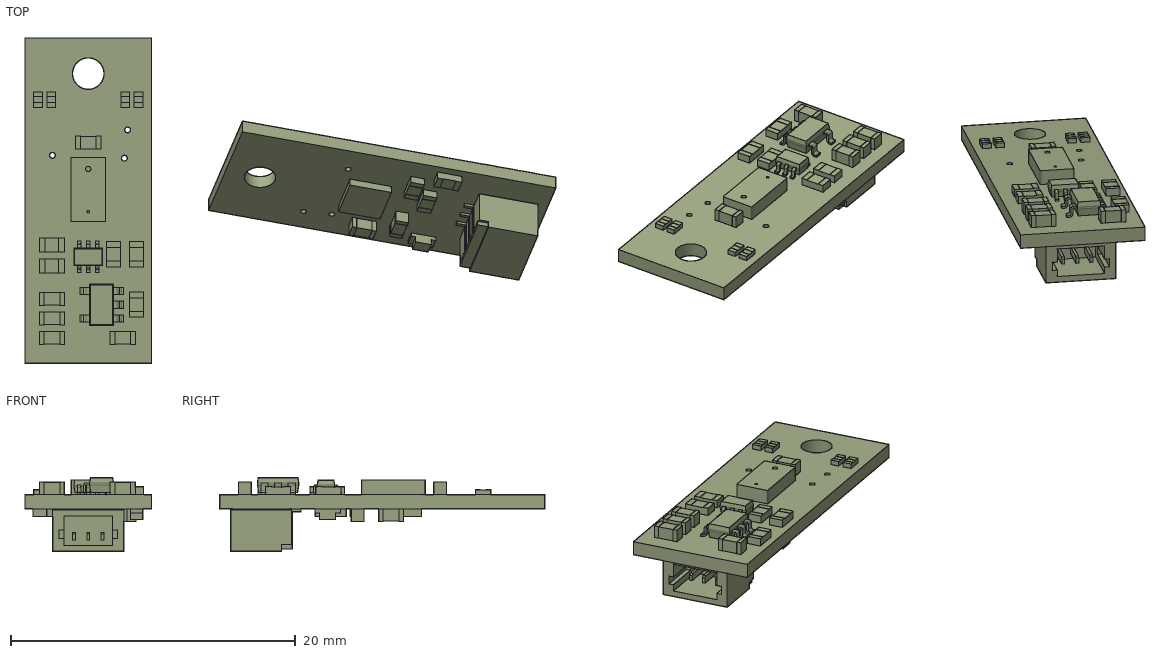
import cadquery as cq


BOARD_WIDTH = 8.9
BOARD_LENGTH = 22.85
BOARD_THICKNESS = 1.0
MOUNTING_HOLE_DIAMETER = 2.2
MOUNTING_HOLE_Y = 8.92
VIA_DIAMETER = 0.4
VIA_CENTRES = [(2.77, 4.95), (2.54, 2.97), (-2.51, 3.18)]

CHIP_LENGTH = 1.75
CAPACITOR_WIDTH = 0.91
CAPACITOR_HEIGHT = 0.9
CAPACITOR_TERMINAL = 0.32
RESISTOR_WIDTH = 0.98
RESISTOR_HEIGHT = 0.55
RESISTOR_TERMINAL = 0.41
TERMINAL_STEP = 0.02
LED_LENGTH = 1.1
LED_HEIGHT = 0.35
LED_TERMINAL = 0.35
LED_ROW_Y = 7.09
OUTER_LED_WIDTH = 0.65
OUTER_LED_X = 3.52
INNER_LED_WIDTH = 0.6
INNER_LED_X = 2.58

LEFT_COLUMN_X = -2.55
RIGHT_COLUMN_X = 3.4
CAPACITOR_PITCH = 1.37
CAPACITOR_ROW_Y = -9.65
CAPACITOR_CENTRES = [
    (0, 4.07),
    (2.42, CAPACITOR_ROW_Y),
    *[(LEFT_COLUMN_X, CAPACITOR_ROW_Y + row * CAPACITOR_PITCH) for row in range(3)],
]
RESISTOR_CENTRES = [(LEFT_COLUMN_X, -3.13), (LEFT_COLUMN_X, -4.6)]
UPRIGHT_RESISTOR_CENTRES = [(1.75, -3.77), (RIGHT_COLUMN_X, -3.77), (RIGHT_COLUMN_X, -7.32)]

SENSOR_WIDTH = 2.42
SENSOR_LENGTH = 4.5
SENSOR_HEIGHT = 1.03
SENSOR_Y = 0.78
SENSOR_CORNER_RADIUS = 0.05
LARGE_PORT_DIAMETER = 0.37
LARGE_PORT_Y = 2.22
SMALL_PORT_DIAMETER = 0.18
SMALL_PORT_Y = -0.8
PORT_DEPTH = 0.35

PACKAGE_CLEARANCE = 0.14
PACKAGE_DRAFT = 10
LEAD_THICKNESS = 0.14
SIX_LEAD_PITCH = 0.65
SIX_LEAD_TOP = 0.69
FIVE_LEAD_PITCH = 0.95
FIVE_LEAD_TOP = 0.82
SIX_LEAD_CENTRE = (0, -3.95)
FIVE_LEAD_CENTRE = (0.94, -7.32)

SQUARE_CHIP_SIZE = 3.02
SQUARE_CHIP_HEIGHT = 0.55
SQUARE_CHIP_Y = 1.25
DIODE_WIDTH = 0.85
DIODE_BODY_LENGTH = 1.15
DIODE_LEAD_SPAN = 1.78
DIODE_HEIGHT = 0.75
DIODE_LEAD_HEIGHT = 0.3
DIODE_ROW_Y = -3.85
BOTTOM_CAPACITOR_CENTRE = (1.85, -1.74)
BOTTOM_UPRIGHT_CAPACITOR_CENTRE = (2.9, 0.62)
BOTTOM_RESISTOR_CENTRES = [(-2.05, -1.75), (-0.91, -3.02)]

HOUSING_WIDTH = 5.0
HOUSING_DEPTH = 4.27
HOUSING_HEIGHT = 3.0
HOUSING_REAR_Y = -6.38
STANDOFF_HEIGHT = 0.07
STANDOFF_INSET = 0.14
CAVITY_WIDTH = 3.38
CAVITY_TOP = 0.5
CAVITY_BOTTOM = 2.55
CAVITY_DEPTH = 3.45
KEYWAY_SPAN = 4.1
KEYWAY_TOP = 1.49
KEYWAY_BOTTOM = 2.08
REAR_NOTCH_DEPTH = 0.69
REAR_NOTCH_TOP = 2.5
KEYWAY_DEPTH = 2.75
CONTACT_PITCH = 1.0
CONTACT_WIDTH = 0.2
CONTACT_TOP = 1.67
CONTACT_BOTTOM = 2.17
CONTACT_LENGTH = 2.05
CONTACT_TIP_CHAMFER = 0.11
TAIL_WIDTH = 0.2
ROOT_WIDTH = 4.69
TAIL_THICKNESS = 0.07
TAIL_BOTTOM = 2.83
FOOT_LENGTH = 0.69
FOOT_HEIGHT = 0.2


def block(x_size, y_size, height, x=0, y=0, top=None):
    """Box centred on (x, y), standing on z = 0 or hanging down from `top`."""
    z = 0 if top is None else top - height
    box = cq.Workplane("XY").box(x_size, y_size, height, centered=(True, True, False))
    return box.translate((x, y, z))


def chip(length, width, height, terminal, side_step=0.0):
    """Two-terminal chip along X; its body is lower, and narrower by side_step, between the terminals."""
    body = block(length - terminal, width - 2 * side_step, height - TERMINAL_STEP)
    terminal_x = (length - terminal) / 2
    for x in (-terminal_x, terminal_x):
        body = body.union(block(terminal, width, height, x))
    return body


def capacitor():
    return chip(CHIP_LENGTH, CAPACITOR_WIDTH, CAPACITOR_HEIGHT, CAPACITOR_TERMINAL, TERMINAL_STEP)


def resistor():
    return chip(CHIP_LENGTH, RESISTOR_WIDTH, RESISTOR_HEIGHT, RESISTOR_TERMINAL)


def led(width):
    return chip(LED_LENGTH, width, LED_HEIGHT, LED_TERMINAL)


def on_top(part, x, y, upright=False):
    """Place a part on the top face; an upright part is turned to lie along Y."""
    angle = 90 if upright else 0
    return part.rotate((0, 0, 0), (0, 0, 1), angle).translate((x, y, 0))


def on_bottom(part, x, y, upright=False):
    """Place a part upside down on the bottom face."""
    return on_top(part, x, y, upright).mirror("XY").translate((0, 0, -BOARD_THICKNESS))


def gull_wing_lead(width, lead_top, knee, reach, knee_bend, foot_bend):
    """Lead bent down at x = knee to a foot that ends at x = reach; the bends are inner radii."""
    outer_knee_bend = knee_bend + LEAD_THICKNESS
    outer_foot_bend = foot_bend + LEAD_THICKNESS
    inner_knee = knee - LEAD_THICKNESS
    return (
        cq.Workplane("XZ")
        .moveTo(0, lead_top)
        .lineTo(knee - outer_knee_bend, lead_top)
        .tangentArcPoint((knee, lead_top - outer_knee_bend), relative=False)
        .lineTo(knee, outer_foot_bend)
        .tangentArcPoint((knee + foot_bend, LEAD_THICKNESS), relative=False)
        .lineTo(reach, LEAD_THICKNESS)
        .lineTo(reach, 0)
        .lineTo(knee + foot_bend, 0)
        .tangentArcPoint((inner_knee, outer_foot_bend), relative=False)
        .lineTo(inner_knee, lead_top - outer_knee_bend)
        .tangentArcPoint((knee - outer_knee_bend, lead_top - LEAD_THICKNESS), relative=False)
        .lineTo(0, lead_top - LEAD_THICKNESS)
        .close()
        .extrude(width / 2, both=True)
    )


def leaded_package(width, length, height, lead, lead_top, left_rows, right_rows):
    """Package with a straight belt at lead level, drafted above and below, and leads along X."""
    belt_bottom = lead_top - LEAD_THICKNESS
    belt = block(width, length, LEAD_THICKNESS, top=lead_top)
    upper = (
        cq.Workplane("XY", origin=(0, 0, lead_top))
        .rect(width, length)
        .extrude(height - lead_top, taper=PACKAGE_DRAFT)
    )
    lower = (
        cq.Workplane("XY", origin=(0, 0, belt_bottom))
        .rect(width, length)
        .extrude(PACKAGE_CLEARANCE - belt_bottom, taper=PACKAGE_DRAFT)
    )
    package = belt.union(upper).union(lower)
    for y in right_rows:
        package = package.union(lead.translate((0, y, 0)))
    for y in left_rows:
        package = package.union(lead.mirror("YZ").translate((0, y, 0)))
    return package


def six_lead_package():
    rows = (-SIX_LEAD_PITCH, 0, SIX_LEAD_PITCH)
    lead = gull_wing_lead(
        width=0.25, lead_top=SIX_LEAD_TOP, knee=0.87, reach=1.1, knee_bend=0.05, foot_bend=0.07
    )
    return leaded_package(
        width=1.23,
        length=2.01,
        height=1.0,
        lead=lead,
        lead_top=SIX_LEAD_TOP,
        left_rows=rows,
        right_rows=rows,
    )


def five_lead_package():
    outer_rows = (-FIVE_LEAD_PITCH, FIVE_LEAD_PITCH)
    lead = gull_wing_lead(
        width=0.5, lead_top=FIVE_LEAD_TOP, knee=1.25, reach=1.53, knee_bend=0.02, foot_bend=0.14
    )
    return leaded_package(
        width=1.7,
        length=2.93,
        height=1.2,
        lead=lead,
        lead_top=FIVE_LEAD_TOP,
        left_rows=outer_rows,
        right_rows=(*outer_rows, 0),
    )


def bare_board():
    board = block(BOARD_WIDTH, BOARD_LENGTH, BOARD_THICKNESS, top=0)
    mounting_hole = cq.Workplane("XY").center(0, MOUNTING_HOLE_Y).circle(MOUNTING_HOLE_DIAMETER / 2)
    vias = cq.Workplane("XY").pushPoints(VIA_CENTRES).circle(VIA_DIAMETER / 2)
    return board.cut(mounting_hole.extrude(-BOARD_THICKNESS)).cut(vias.extrude(-BOARD_THICKNESS))


def sensor():
    body = block(SENSOR_WIDTH, SENSOR_LENGTH, SENSOR_HEIGHT, y=SENSOR_Y)
    body = body.edges("|Z").fillet(SENSOR_CORNER_RADIUS)
    for y, diameter in ((LARGE_PORT_Y, LARGE_PORT_DIAMETER), (SMALL_PORT_Y, SMALL_PORT_DIAMETER)):
        port = cq.Workplane("XY", origin=(0, y, SENSOR_HEIGHT)).circle(diameter / 2).extrude(-PORT_DEPTH)
        body = body.cut(port)
    return body


def diode():
    body = block(DIODE_BODY_LENGTH, DIODE_WIDTH, DIODE_HEIGHT)
    return body.union(block(DIODE_LEAD_SPAN, DIODE_WIDTH, DIODE_LEAD_HEIGHT))


def below(x_size, front_y, rear_y, upper, lower, x=0):
    """Box between two Y positions and two depths below the board's bottom face."""
    middle_y = (front_y + rear_y) / 2
    return block(x_size, rear_y - front_y, lower - upper, x, middle_y, -BOARD_THICKNESS - upper)


def connector():
    front_y = HOUSING_REAR_Y - HOUSING_DEPTH
    cavity_rear_y = front_y + CAVITY_DEPTH
    notch_front_y = HOUSING_REAR_Y - REAR_NOTCH_DEPTH
    tail_rear_y = HOUSING_REAR_Y + TAIL_THICKNESS

    housing = below(HOUSING_WIDTH, front_y, HOUSING_REAR_Y, STANDOFF_HEIGHT, HOUSING_HEIGHT)
    standoff = below(
        HOUSING_WIDTH - 2 * STANDOFF_INSET,
        front_y + STANDOFF_INSET,
        HOUSING_REAR_Y - STANDOFF_INSET,
        0,
        STANDOFF_HEIGHT,
    )
    housing = housing.union(standoff)
    housing = housing.cut(below(CAVITY_WIDTH, front_y, cavity_rear_y, CAVITY_TOP, CAVITY_BOTTOM))
    housing = housing.cut(below(KEYWAY_SPAN, front_y, front_y + KEYWAY_DEPTH, KEYWAY_TOP, KEYWAY_BOTTOM))
    rear_notch = below(HOUSING_WIDTH, notch_front_y, HOUSING_REAR_Y, REAR_NOTCH_TOP, HOUSING_HEIGHT)
    housing = housing.cut(rear_notch)

    for x in (-CONTACT_PITCH, 0, CONTACT_PITCH):
        pin_front_y = cavity_rear_y - CONTACT_LENGTH
        pin = below(CONTACT_WIDTH, pin_front_y, cavity_rear_y, CONTACT_TOP, CONTACT_BOTTOM, x)
        pin = pin.faces("<Y").edges(">Z").chamfer(CONTACT_TIP_CHAMFER)
        foot = below(TAIL_WIDTH, HOUSING_REAR_Y, HOUSING_REAR_Y + FOOT_LENGTH, 0, FOOT_HEIGHT, x)
        riser = below(TAIL_WIDTH, HOUSING_REAR_Y, tail_rear_y, 0, TAIL_BOTTOM, x)
        housing = housing.union(pin).union(foot).union(riser)

    root = below(ROOT_WIDTH, notch_front_y, tail_rear_y, REAR_NOTCH_TOP, TAIL_BOTTOM)
    return housing.union(root)


parts = [sensor(), connector()]

for side in (-1, 1):
    parts.append(on_top(led(OUTER_LED_WIDTH), side * OUTER_LED_X, LED_ROW_Y, upright=True))
    parts.append(on_top(led(INNER_LED_WIDTH), side * INNER_LED_X, LED_ROW_Y, upright=True))

for x, y in CAPACITOR_CENTRES:
    parts.append(on_top(capacitor(), x, y))
for x, y in RESISTOR_CENTRES:
    parts.append(on_top(resistor(), x, y))
for x, y in UPRIGHT_RESISTOR_CENTRES:
    parts.append(on_top(resistor(), x, y, upright=True))

parts.append(on_top(six_lead_package(), *SIX_LEAD_CENTRE, upright=True))
parts.append(on_top(five_lead_package(), *FIVE_LEAD_CENTRE))

square_chip = block(SQUARE_CHIP_SIZE, SQUARE_CHIP_SIZE, SQUARE_CHIP_HEIGHT)
parts.append(on_bottom(square_chip, 0, SQUARE_CHIP_Y))
parts.append(on_bottom(capacitor(), *BOTTOM_CAPACITOR_CENTRE))
parts.append(on_bottom(capacitor(), *BOTTOM_UPRIGHT_CAPACITOR_CENTRE, upright=True))
for x, y in BOTTOM_RESISTOR_CENTRES:
    parts.append(on_bottom(resistor(), x, y))
parts.append(on_bottom(resistor(), -RIGHT_COLUMN_X, DIODE_ROW_Y, upright=True))
parts.append(on_bottom(diode(), RIGHT_COLUMN_X, DIODE_ROW_Y, upright=True))

result = bare_board()
for part in parts:
    result = result.union(part)